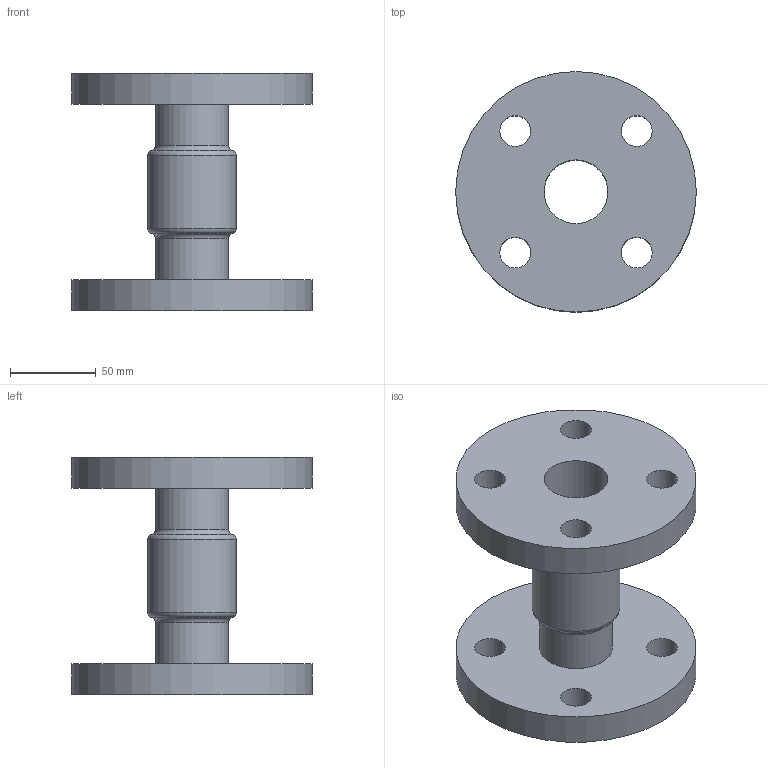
import cadquery as cq
import math

overall_length = 138.0

flange_diameter = 140.0
flange_thickness = 18.0
bolt_circle_diameter = 100.0
bolt_hole_diameter = 18.0
bolt_hole_count = 4
first_bolt_angle = 45.0

pipe_diameter = 42.4
bore_diameter = 37.2
sleeve_diameter = 51.4
sleeve_straight_length = 42.5
shoulder_radius = 3.0

pipe_radius = pipe_diameter / 2
sleeve_radius = sleeve_diameter / 2
shoulder_mid_radius = (pipe_radius + sleeve_radius) / 2
arc_rise = sleeve_radius - shoulder_mid_radius
arc_angle = math.acos(1 - arc_rise / shoulder_radius)
arc_length_along_axis = shoulder_radius * math.sin(arc_angle)


def arc_point_at_half_angle():
    """Radial and axial distance from an arc's cylinder end to its middle."""
    half_angle = arc_angle / 2
    radial = shoulder_radius * (1 - math.cos(half_angle))
    axial = shoulder_radius * math.sin(half_angle)
    return radial, axial


def make_flange(base_z):
    """Round flange plate with its bolt holes, its lower face at base_z."""
    plate = cq.Workplane("XY").workplane(offset=base_z).circle(flange_diameter / 2).extrude(flange_thickness)
    holes = (
        cq.Workplane("XY")
        .workplane(offset=base_z)
        .polarArray(bolt_circle_diameter / 2, first_bolt_angle, 360, bolt_hole_count)
        .circle(bolt_hole_diameter / 2)
        .extrude(flange_thickness)
    )
    return plate.cut(holes)


def make_pipe():
    """Solid pipe running the full length."""
    return cq.Workplane("XY").circle(pipe_radius).extrude(overall_length / 2, both=True)


def make_sleeve():
    """Sleeve with an S-shaped shoulder at each end, revolved about Z."""
    straight_end = sleeve_straight_length / 2
    shoulder_mid = straight_end + arc_length_along_axis
    shoulder_end = shoulder_mid + arc_length_along_axis
    radial, axial = arc_point_at_half_angle()

    sleeve_end = (sleeve_radius, straight_end)
    convex_mid = (sleeve_radius - radial, straight_end + axial)
    inflection = (shoulder_mid_radius, shoulder_mid)
    concave_mid = (pipe_radius + radial, shoulder_end - axial)
    pipe_end = (pipe_radius, shoulder_end)

    def mirrored(point):
        return point[0], -point[1]

    profile = (
        cq.Workplane("XZ")
        .moveTo(0, -shoulder_end)
        .lineTo(*mirrored(pipe_end))
        .threePointArc(mirrored(concave_mid), mirrored(inflection))
        .threePointArc(mirrored(convex_mid), mirrored(sleeve_end))
        .lineTo(*sleeve_end)
        .threePointArc(convex_mid, inflection)
        .threePointArc(concave_mid, pipe_end)
        .lineTo(0, shoulder_end)
        .close()
    )
    return profile.revolve(360, (0, 0, 0), (0, 1, 0))


def make_bore():
    """Straight bore through the whole part."""
    return cq.Workplane("XY").circle(bore_diameter / 2).extrude(overall_length / 2, both=True)


body = make_pipe().union(make_sleeve())
for flange_base_z in (-overall_length / 2, overall_length / 2 - flange_thickness):
    body = body.union(make_flange(flange_base_z))

result = body.cut(make_bore())